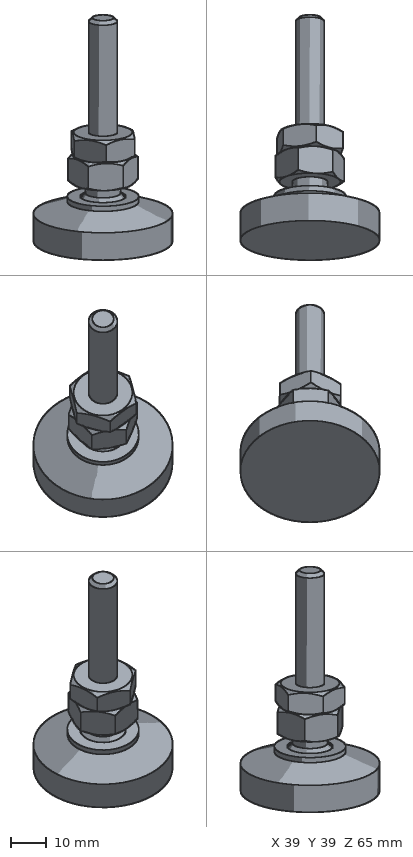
import cadquery as cq
import math

rim_top = 8.0
cone_top = 11.5
collar_top = 13.0
flare_top = 14.0
hex_bottom = 17.1
hex_top = 25.1
nut_top = 31.7
stud_top = 65.0

pad_radius = 19.5
collar_radius = 10.0
recess_radius = 6.4
recess_depth = 0.65
recess_floor = collar_top - recess_depth

flare_radius = recess_radius
neck_radius = 4.95
rod_radius = 4.0
tip_chamfer = 1.05

across_flats = 17.05
across_corners = across_flats / math.cos(math.pi / 6)
nut_top_face_radius = 8.2
joint_face_radius = 8.3
stud_hex_bottom_face_radius = across_flats / 2
corner_slope = math.tan(math.radians(30))


def revolve_profile(points):
    """Revolve a closed (radius, height) outline about the Z axis."""
    return cq.Workplane("XZ").polyline(points).close().revolve(360, (0, 0), (0, 1))


def make_hexagon(bottom, top, bottom_face_radius, top_face_radius, turn):
    """Hexagonal prism with its corners trimmed by a cone at each end."""
    corner_radius = across_corners / 2
    bottom_trim = (corner_radius - bottom_face_radius) * corner_slope
    top_trim = (corner_radius - top_face_radius) * corner_slope
    prism = (
        cq.Workplane("XY", origin=(0, 0, bottom))
        .polygon(6, across_corners)
        .extrude(top - bottom)
        .rotate((0, 0, 0), (0, 0, 1), turn)
    )
    envelope = revolve_profile([
        (0, bottom),
        (bottom_face_radius, bottom),
        (corner_radius, bottom + bottom_trim),
        (corner_radius, top - top_trim),
        (top_face_radius, top),
        (0, top),
    ])
    return prism.intersect(envelope)


def make_pad():
    """Round foot with a conical shoulder and a raised collar, recessed to seat the stud."""
    return revolve_profile([
        (0, 0),
        (pad_radius, 0),
        (pad_radius, rim_top),
        (collar_radius, cone_top),
        (collar_radius, collar_top),
        (recess_radius, collar_top),
        (recess_radius, recess_floor),
        (0, recess_floor),
    ])


def make_stud():
    """Flared neck, wrench hexagon with flats facing Y, and a chamfered rod."""
    neck = revolve_profile([
        (0, recess_floor),
        (flare_radius, recess_floor),
        (neck_radius, flare_top),
        (neck_radius, hex_bottom),
        (0, hex_bottom),
    ])
    hexagon = make_hexagon(
        hex_bottom, hex_top, stud_hex_bottom_face_radius, joint_face_radius, turn=0
    )
    rod = (
        cq.Workplane("XY", origin=(0, 0, hex_top))
        .circle(rod_radius)
        .extrude(stud_top - hex_top)
        .faces(">Z")
        .chamfer(tip_chamfer)
    )
    return neck.union(hexagon).union(rod)


def make_nut():
    """Lock nut with flats facing X, bored to fit the rod."""
    hexagon = make_hexagon(hex_top, nut_top, joint_face_radius, nut_top_face_radius, turn=30)
    bore = (
        cq.Workplane("XY", origin=(0, 0, hex_top))
        .circle(rod_radius)
        .extrude(nut_top - hex_top)
    )
    return hexagon.cut(bore)


pad = make_pad()
stud = make_stud()
nut = make_nut()

result = cq.Compound.makeCompound([pad.val(), stud.val(), nut.val()])